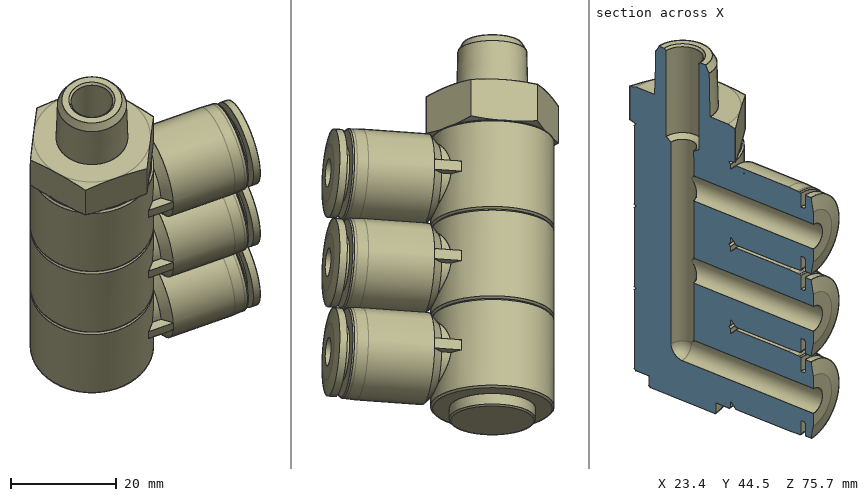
import cadquery as cq
import math

total_height = 75.7
port_count = 3
port_pitch = 18.0
plug_height = 2.4
nut_top = 64.7
body_top = plug_height + port_count * port_pitch

body_radius = 23.4 / 2
body_chamfer = 0.4
plug_radius = 16.35 / 2
plug_chamfer = 0.3

nut_across_flats = 22.2
nut_across_corners = nut_across_flats / math.cos(math.radians(30))
nut_corner_drop = 0.45

stub_base_radius = 13.6 / 2
stub_tip_radius = 13.1 / 2
stub_mouth_radius = 11.35 / 2
stub_chamfer_height = 1.5

port_height_in_section = 9.1
port_radius = 17.5 / 2
port_start = 12.95
port_taper_start = 25.75
port_collar_start = 27.85
port_collar_radius = 17.25 / 2
port_collar_end = 28.4
port_end = 28.7
port_end_radius = 16.9 / 2
root_radius = 14.0 / 2
root_cone_length = port_radius - root_radius
rib_thickness = 2.05

ring_neck_radius = 10.9 / 2
ring_radius = 16.8 / 2
ring_face_radius = 10.9 / 2
ring_neck_flare = 0.3
ring_back = 29.75
ring_edge = 31.2
ring_face = 31.7

entry_radius = 7.9 / 2
entry_mouth_radius = 8.7 / 2
entry_chamfer = entry_mouth_radius - entry_radius
passage_radius = 5.4 / 2
drill_point_angle = 118.0
drill_cone_height = (entry_radius - passage_radius) / math.tan(math.radians(drill_point_angle / 2))


def cylinder(radius, bottom, top):
    return cq.Workplane("XY").workplane(offset=bottom).circle(radius).extrude(top - bottom)


def revolve_z(points):
    """Revolve a closed (radius, z) outline about the Z axis."""
    return cq.Workplane("XZ").polyline(points).close().revolve(360, (0, 0, 0), (0, 1, 0))


def revolve_y(points):
    """Revolve a closed (radius, y) outline about the Y axis."""
    return cq.Workplane("XY").polyline(points).close().revolve(360, (0, 0, 0), (0, 1, 0))


def make_plug():
    return cylinder(plug_radius, 0, plug_height + body_chamfer).faces("<Z").chamfer(plug_chamfer)


def make_body_section(bottom):
    return cylinder(body_radius, bottom, bottom + port_pitch).edges("%CIRCLE").chamfer(body_chamfer)


def make_nut():
    height = nut_top - body_top
    hexagon = (
        cq.Workplane("XY")
        .workplane(offset=body_top)
        .polygon(6, nut_across_corners)
        .extrude(height)
        .rotate((0, 0, 0), (0, 0, 1), 90)
    )
    flat_radius = nut_across_flats / 2
    corner_radius = nut_across_corners / 2
    envelope = revolve_z([
        (0, body_top),
        (flat_radius, body_top),
        (corner_radius, body_top + nut_corner_drop),
        (corner_radius, nut_top - nut_corner_drop),
        (flat_radius, nut_top),
        (0, nut_top),
    ])
    return hexagon.intersect(envelope)


def make_stub():
    return revolve_z([
        (0, nut_top),
        (stub_base_radius, nut_top),
        (stub_tip_radius, total_height - stub_chamfer_height),
        (stub_mouth_radius, total_height),
        (0, total_height),
    ])


def make_port(height):
    port = revolve_y([
        (0, 0),
        (root_radius, 0),
        (root_radius, port_start - root_cone_length),
        (port_radius, port_start),
        (port_radius, port_taper_start),
        (port_collar_radius, port_collar_start),
        (port_collar_radius, port_collar_end),
        (port_end_radius, port_end),
        (ring_neck_radius, port_end),
        (ring_neck_radius, ring_back - ring_neck_flare),
        (ring_neck_radius + ring_neck_flare, ring_back),
        (ring_radius, ring_back),
        (ring_radius, ring_edge),
        (ring_face_radius, ring_face),
        (0, ring_face),
    ])
    rib = cq.Workplane("XY").box(2 * port_radius, port_start, rib_thickness, centered=(True, False, True))
    return port.union(rib).translate((0, 0, height))


def make_port_passage(height):
    bore = cq.Workplane("XZ").circle(passage_radius).extrude(-ring_face)
    return bore.translate((0, 0, height))


def make_main_passage(bottom):
    """Vertical passage with a wider entry, ending in a ball at the lowest port."""
    bore = revolve_z([
        (0, bottom),
        (passage_radius, bottom),
        (passage_radius, body_top - drill_cone_height),
        (entry_radius, body_top),
        (entry_radius, total_height - entry_chamfer),
        (entry_mouth_radius, total_height),
        (0, total_height),
    ])
    ball = cq.Workplane("XY").sphere(passage_radius).translate((0, 0, bottom))
    return bore.union(ball)


section_bottoms = [plug_height + index * port_pitch for index in range(port_count)]
port_heights = [bottom + port_height_in_section for bottom in section_bottoms]

result = make_plug().union(make_nut()).union(make_stub())
for section_bottom in section_bottoms:
    result = result.union(make_body_section(section_bottom))
for port_height in port_heights:
    result = result.union(make_port(port_height))

result = result.cut(make_main_passage(port_heights[0]))
for port_height in port_heights:
    result = result.cut(make_port_passage(port_height))